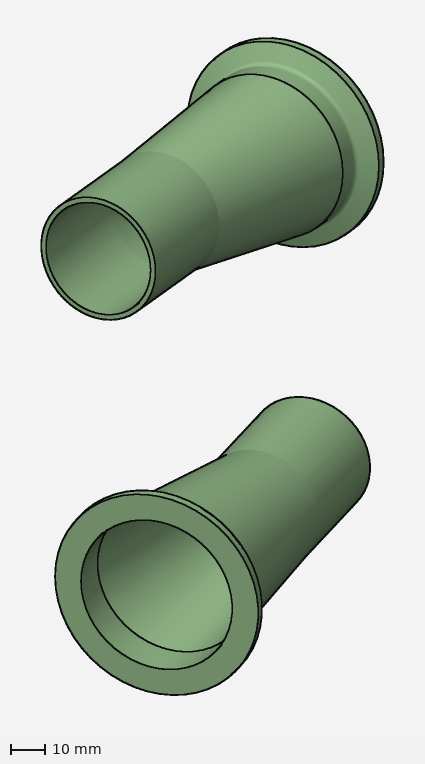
import cadquery as cq
import math

TOTAL_LENGTH = 101.6
WALL = 1.6
LARGE_RADIUS = 25.4
SMALL_RADIUS = 19.05
FERRULE_LENGTH = 12.7
TUBE_LENGTH = 38.1

FLANGE_RADIUS = 63.9 / 2
RIM_THICKNESS = 2.9
CLAMP_ANGLE = math.radians(20.0)
NECK_FILLET = 1.5

CONE_LENGTH = TOTAL_LENGTH - FERRULE_LENGTH - TUBE_LENGTH
CONE_END = FERRULE_LENGTH + CONE_LENGTH
OUTLET_OFFSET = SMALL_RADIUS - LARGE_RADIUS


def make_ferrule():
    """Clamp flange and neck, revolved about the Y axis."""
    bore_radius = LARGE_RADIUS - WALL
    fillet_center_radius = LARGE_RADIUS + NECK_FILLET
    slope_tangent_radius = fillet_center_radius - NECK_FILLET * math.sin(CLAMP_ANGLE)
    slope_tangent_depth = RIM_THICKNESS + (FLANGE_RADIUS - slope_tangent_radius) * math.tan(CLAMP_ANGLE)
    fillet_center_depth = slope_tangent_depth + NECK_FILLET * math.cos(CLAMP_ANGLE)
    mid_angle = (math.pi / 2 - CLAMP_ANGLE) / 2
    arc_middle = (
        fillet_center_radius - NECK_FILLET * math.cos(mid_angle),
        -fillet_center_depth + NECK_FILLET * math.sin(mid_angle),
    )
    return (
        cq.Workplane("XY")
        .moveTo(bore_radius, 0)
        .lineTo(FLANGE_RADIUS, 0)
        .lineTo(FLANGE_RADIUS, -RIM_THICKNESS)
        .lineTo(slope_tangent_radius, -slope_tangent_depth)
        .threePointArc(arc_middle, (LARGE_RADIUS, -fillet_center_depth))
        .lineTo(LARGE_RADIUS, -FERRULE_LENGTH)
        .lineTo(bore_radius, -FERRULE_LENGTH)
        .close()
        .revolve(360, (0, 0, 0), (0, 1, 0))
    )


def reducer_form(large_radius, small_radius):
    """Solid eccentric cone followed by a straight outlet cylinder."""
    cone = (
        cq.Workplane("XZ", origin=(0, -FERRULE_LENGTH, 0))
        .circle(large_radius)
        .workplane(offset=CONE_LENGTH)
        .center(OUTLET_OFFSET, 0)
        .circle(small_radius)
        .loft(ruled=True)
    )
    tube = (
        cq.Workplane("XZ", origin=(OUTLET_OFFSET, -CONE_END, 0))
        .circle(small_radius)
        .extrude(TUBE_LENGTH)
    )
    return cone.union(tube)


def make_reducer():
    """Thin-walled eccentric reducer with its outlet tube."""
    outside = reducer_form(LARGE_RADIUS, SMALL_RADIUS)
    inside = reducer_form(LARGE_RADIUS - WALL, SMALL_RADIUS - WALL)
    return outside.cut(inside)


ferrule = make_ferrule()
reducer = make_reducer()

result = cq.Compound.makeCompound([ferrule.val(), *reducer.solids().vals()])